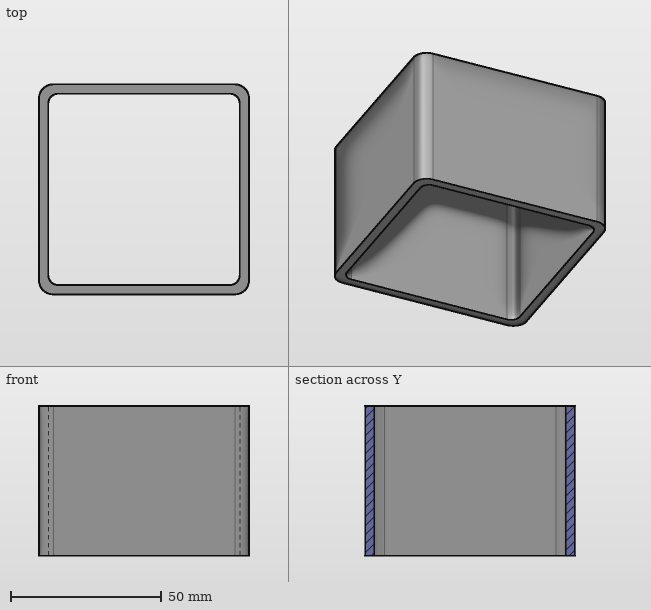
import cadquery as cq

outer_side = 70.0
height = 50.0
wall = 3.2
outer_corner_radius = 4.8
inner_corner_radius = wall

inner_side = outer_side - 2 * wall


def rounded_square_prism(side, corner_radius):
    """Upright square prism with rounded vertical edges, standing on Z = 0."""
    prism = cq.Workplane("XY").rect(side, side).extrude(height)
    return prism.edges("|Z").fillet(corner_radius)


outer_body = rounded_square_prism(outer_side, outer_corner_radius)
bore = rounded_square_prism(inner_side, inner_corner_radius)

result = outer_body.cut(bore)